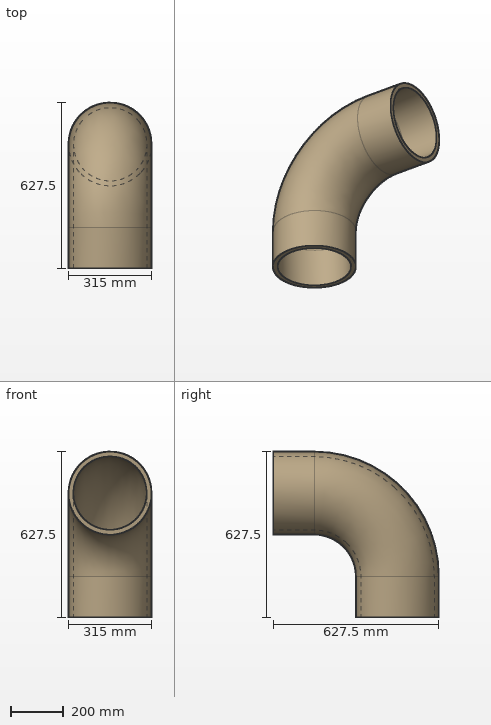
import cadquery as cq

outer_diameter = 315.0
wall_thickness = 18.7
bend_radius = outer_diameter
leg_length = 155.0

inner_diameter = outer_diameter - 2 * wall_thickness
bend_angle = 90.0


def ring(workplane):
    """Annular pipe section on the given workplane."""
    return workplane.circle(outer_diameter / 2).circle(inner_diameter / 2)


def lower_leg():
    """Vertical spigot, opening downwards at Z = 0."""
    return ring(cq.Workplane("XY")).extrude(leg_length)


def bend():
    """Quarter turn from +Z to -Y, about an X-parallel axis on the -Y side."""
    section = ring(cq.Workplane("XY", origin=(0, 0, leg_length)))
    axis_start = (0, -bend_radius)
    axis_end = (1, -bend_radius)
    return section.revolve(bend_angle, axis_start, axis_end)


def upper_leg():
    """Horizontal spigot, opening towards -Y."""
    bend_end = (0, -bend_radius, leg_length + bend_radius)
    return ring(cq.Workplane("XZ", origin=bend_end)).extrude(leg_length)


result = lower_leg().union(bend()).union(upper_leg())